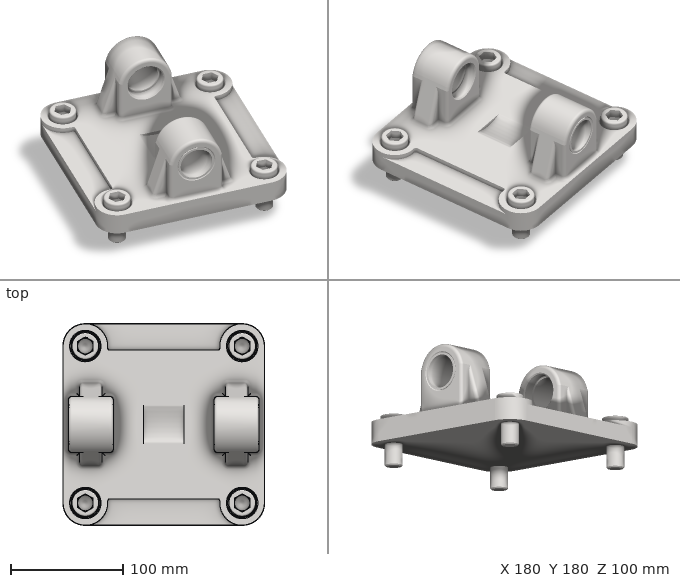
import cadquery as cq
import math

plate_size = 180.0
plate_height = 20.0
corner_radius = 20.0
screw_offset = plate_size / 2 - corner_radius

ledge_drop = 5.0
ledge_depth = 23.7
ledge_half_length = screw_offset - corner_radius
ledge_fillet = 2.0

relief_length = 36.5
relief_radius = 40.0
relief_half_width = 15.4
relief_lip_fillet = 4.0

ear_inner_x = 45.0
ear_width = 40.0
ear_center_x = ear_inner_x + ear_width / 2
ear_radius = 25.0
ear_fillet = 3.0
foot_fillet = 3.0
foot_search_margin = 1.0
pin_height = 55.0
bore_diameter = 34.0
bore_chamfer = 1.0

rib_width = 20.0
rib_fillet = 3.0
slope_angle = math.radians(18)
tangent_y = ear_radius * math.cos(slope_angle)
tangent_z = pin_height + ear_radius * math.sin(slope_angle)
rib_top_z = tangent_z - (ear_radius - tangent_y) / math.tan(slope_angle)
rib_foot_y = tangent_y + (tangent_z - plate_height) * math.tan(slope_angle)

bushing_bore = 30.0
bushing_recess = 10.0
bushing_length = ear_width - bushing_recess

shank_diameter = 16.0
head_diameter = 24.0
head_height = 16.0
head_fillet = 1.6
head_seat_z = plate_height / 2
screw_tip_z = -20.0
tip_chamfer = 1.0
socket_sides = 6
socket_across_flats = 14.0
socket_depth = 8.0
socket_cone_angle = math.radians(30)
counterbore_diameter = 26.0
counterbore_chamfer = 1.0

sides = (-1, 1)
screw_points = [(sx * screw_offset, sy * screw_offset) for sx in sides for sy in sides]


def make_plate():
    """Square plate with rounded corners, its underside on Z = 0."""
    plate = cq.Workplane("XY").rect(plate_size, plate_size).extrude(plate_height)
    return plate.edges("|Z").fillet(corner_radius)


def make_ledge_cut(side):
    """Pocket between two corner bosses; side is the sign of its Y position."""
    wall_y = plate_size / 2 - ledge_depth
    edge_y = plate_size / 2
    boss_arc = corner_radius * math.sqrt(0.5)
    pocket = (
        cq.Workplane("XY")
        .workplane(offset=plate_height - ledge_drop)
        .moveTo(-ledge_half_length, wall_y)
        .lineTo(ledge_half_length, wall_y)
        .lineTo(ledge_half_length, screw_offset)
        .threePointArc((screw_offset - boss_arc, screw_offset + boss_arc), (screw_offset, edge_y))
        .lineTo(-screw_offset, edge_y)
        .threePointArc((boss_arc - screw_offset, screw_offset + boss_arc), (-ledge_half_length, screw_offset))
        .close()
        .extrude(ledge_drop)
        .edges("|Z and <Y")
        .fillet(ledge_fillet)
    )
    return pocket if side > 0 else pocket.mirror("XZ")


def make_relief_cut():
    """Concave trough along X whose long edges roll over into the plate's top."""
    half_angle = math.asin(relief_half_width / relief_radius)
    floor_z = plate_height - (relief_radius + relief_lip_fillet) * (1 - math.cos(half_angle))
    edge_z = floor_z + relief_radius * (1 - math.cos(half_angle))
    lip_half_width = relief_half_width + relief_lip_fillet * math.sin(half_angle)
    lip_mid_y = lip_half_width - relief_lip_fillet * math.sin(half_angle / 2)
    lip_mid_z = plate_height - relief_lip_fillet * (1 - math.cos(half_angle / 2))
    return (
        cq.Workplane("YZ")
        .moveTo(-lip_half_width, plate_height)
        .threePointArc((-lip_mid_y, lip_mid_z), (-relief_half_width, edge_z))
        .threePointArc((0, floor_z), (relief_half_width, edge_z))
        .threePointArc((lip_mid_y, lip_mid_z), (lip_half_width, plate_height))
        .close()
        .extrude(relief_length / 2, both=True)
    )


def make_ear():
    """Ear centred on X = 0, standing on the plate's top."""
    body = (
        cq.Workplane("YZ")
        .moveTo(-ear_radius, plate_height)
        .lineTo(-ear_radius, rib_top_z)
        .lineTo(-tangent_y, tangent_z)
        .threePointArc((0, pin_height + ear_radius), (tangent_y, tangent_z))
        .lineTo(ear_radius, rib_top_z)
        .lineTo(ear_radius, plate_height)
        .close()
        .extrude(ear_width / 2, both=True)
    )
    body = body.faces("<X or >X").edges("not <Z").fillet(ear_fillet)
    ribs = (
        cq.Workplane("YZ")
        .moveTo(-rib_foot_y, plate_height)
        .lineTo(-ear_radius, rib_top_z)
        .lineTo(ear_radius, rib_top_z)
        .lineTo(rib_foot_y, plate_height)
        .close()
        .extrude(rib_width / 2, both=True)
    )
    ribs = ribs.faces("<X or >X").edges("not #Z").fillet(rib_fillet)
    return body.union(ribs)


def add_ears(plate):
    """Join both ears to the plate and round the joint all the way around each foot."""
    for side in sides:
        plate = plate.union(make_ear().translate((side * ear_center_x, 0, 0)))
    half_x = ear_width / 2 + foot_search_margin
    half_y = rib_foot_y + foot_search_margin
    low_z = plate_height - foot_search_margin
    high_z = plate_height + foot_search_margin
    for side in sides:
        center_x = side * ear_center_x
        foot_edges = cq.selectors.BoxSelector(
            (center_x - half_x, -half_y, low_z),
            (center_x + half_x, half_y, high_z),
            boundingbox=True,
        )
        plate = plate.edges(foot_edges).fillet(foot_fillet)
    return plate


def make_bore_cut(side):
    """Through bore of one ear with a chamfer at each mouth."""
    half = ear_width / 2
    radius = bore_diameter / 2
    mouth_radius = radius + bore_chamfer
    profile = [
        (-half, 0),
        (-half, mouth_radius),
        (-half + bore_chamfer, radius),
        (half - bore_chamfer, radius),
        (half, mouth_radius),
        (half, 0),
    ]
    cut = cq.Workplane("XY").polyline(profile).close().revolve(360, (0, 0, 0), (1, 0, 0))
    return cut.translate((side * ear_center_x, 0, pin_height))


def make_screw_hole_cut():
    """Shank hole and chamfered counterbore about the Z axis."""
    shank_radius = shank_diameter / 2
    bore_radius = counterbore_diameter / 2
    profile = [
        (0, 0),
        (shank_radius, 0),
        (shank_radius, head_seat_z),
        (bore_radius, head_seat_z),
        (bore_radius, plate_height - counterbore_chamfer),
        (bore_radius + counterbore_chamfer, plate_height),
        (0, plate_height),
    ]
    return cq.Workplane("XZ").polyline(profile).close().revolve(360, (0, 0, 0), (0, 1, 0))


def make_housing():
    """Plate and ears in one piece, with every hole and recess cut."""
    body = add_ears(make_plate())
    body = body.cut(make_relief_cut())
    for side in sides:
        body = body.cut(make_ledge_cut(side)).cut(make_bore_cut(side))
    for x, y in screw_points:
        body = body.cut(make_screw_hole_cut().translate((x, y, 0)))
    return body


def make_bushing(side):
    """Plain bushing flush with the outer face of one ear."""
    inner_end = ear_inner_x + bushing_recess
    ring = (
        cq.Workplane("YZ")
        .workplane(offset=inner_end)
        .center(0, pin_height)
        .circle(bore_diameter / 2)
        .circle(bushing_bore / 2)
        .extrude(bushing_length)
    )
    return ring if side > 0 else ring.mirror("YZ")


def make_screw():
    """Socket head screw on the Z axis, with a conical socket bottom."""
    head = cq.Workplane("XY").workplane(offset=head_seat_z).circle(head_diameter / 2).extrude(head_height)
    head = head.faces(">Z").edges().fillet(head_fillet)
    shank = cq.Workplane("XY").workplane(offset=screw_tip_z).circle(shank_diameter / 2)
    shank = shank.extrude(head_seat_z - screw_tip_z).faces("<Z").chamfer(tip_chamfer)

    socket_circle = socket_across_flats / math.cos(math.pi / socket_sides)
    floor_z = head_seat_z + head_height - socket_depth
    socket = cq.Workplane("XY").workplane(offset=floor_z).polygon(socket_sides, socket_circle).extrude(socket_depth)
    socket = socket.rotate((0, 0, 0), (0, 0, 1), 180 / socket_sides)
    cone_radius = socket_across_flats / 2
    cone_depth = cone_radius * math.tan(socket_cone_angle)
    cone = (
        cq.Workplane("XZ")
        .polyline([(0, floor_z), (cone_radius, floor_z), (0, floor_z - cone_depth)])
        .close()
        .revolve(360, (0, 0, 0), (0, 1, 0))
    )
    return head.union(shank).cut(socket).cut(cone)


housing = make_housing()
bushings = [make_bushing(side) for side in sides]
screws = [make_screw().translate((x, y, 0)) for x, y in screw_points]

result = cq.Compound.makeCompound([body.val() for body in [housing, *bushings, *screws]])